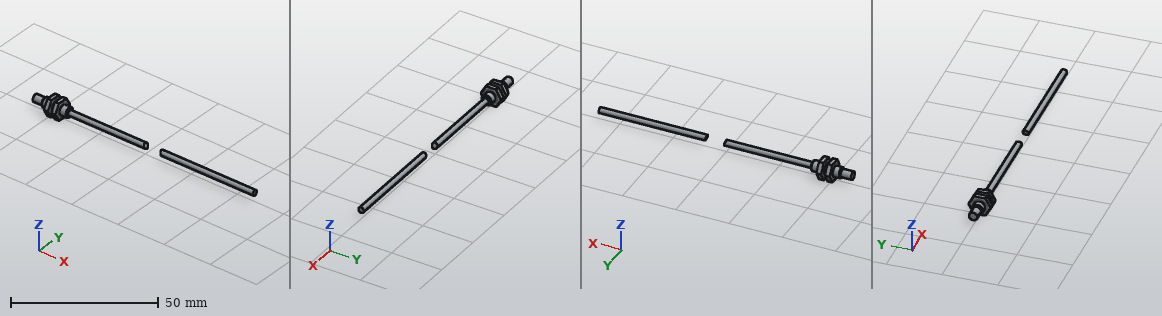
import cadquery as cq
import math

total_length = 95.0
shoulder_x = 3.9
barrel_end_x = 15.0
nut_starts = (6.65, 9.9)
nut_thickness = 2.1
first_cut_x = 47.9
second_cut_x = 55.0

tip_diameter = 3.0
barrel_diameter = 4.0
front_chamfer = 0.5
rear_chamfer = 0.4
cable_diameter = 2.2

nut_across_flats = 7.0
nut_across_corners = nut_across_flats / math.cos(math.pi / 6)
nut_face_diameter = 5.5
nut_corner_drop = 0.24

cut_run = 0.8


def cylinder(start, length, diameter):
    return cq.Workplane("YZ", origin=(start, 0, 0)).circle(diameter / 2).extrude(length)


def make_nut(start):
    """Hexagon nut with flats at top and bottom and both faces chamfered conically."""
    hexagon = (
        cq.Workplane("YZ", origin=(start, 0, 0))
        .polygon(6, nut_across_corners)
        .extrude(nut_thickness)
    )
    end = start + nut_thickness
    face_radius = nut_face_diameter / 2
    corner_radius = nut_across_corners / 2
    envelope = (
        cq.Workplane("XY")
        .moveTo(start, 0)
        .lineTo(start, face_radius)
        .lineTo(start + nut_corner_drop, corner_radius)
        .lineTo(end - nut_corner_drop, corner_radius)
        .lineTo(end, face_radius)
        .lineTo(end, 0)
        .close()
        .revolve(360, (0, 0, 0), (1, 0, 0))
    )
    return hexagon.intersect(envelope)


def make_cable(top_start, bottom_start, top_end, bottom_end):
    """Round cable trimmed to a side outline, so that either end can be slanted."""
    radius = cable_diameter / 2
    outline = (
        cq.Workplane("XZ")
        .polyline([
            (top_start, radius),
            (top_end, radius),
            (bottom_end, -radius),
            (bottom_start, -radius),
        ])
        .close()
        .extrude(radius, both=True)
    )
    return cylinder(0, total_length, cable_diameter).intersect(outline)


def make_sensor():
    """Sensing tip, threaded barrel, two nuts and the front length of cable."""
    tip = cylinder(0, shoulder_x, tip_diameter)
    barrel = cylinder(shoulder_x, barrel_end_x - shoulder_x, barrel_diameter)
    barrel = barrel.faces("<X").chamfer(front_chamfer)
    barrel = barrel.faces(">X").chamfer(rear_chamfer)
    cable = make_cable(
        barrel_end_x, barrel_end_x, first_cut_x - cut_run / 2, first_cut_x + cut_run / 2
    )
    sensor = tip.union(barrel).union(cable)
    for start in nut_starts:
        sensor = sensor.union(make_nut(start))
    return sensor


def make_rear_cable():
    """Rear length of cable, beyond the break."""
    return make_cable(
        second_cut_x - cut_run / 2, second_cut_x + cut_run / 2, total_length, total_length
    )


sensor = make_sensor()
rear_cable = make_rear_cable()
result = cq.Compound.makeCompound([sensor.val(), rear_cable.val()])